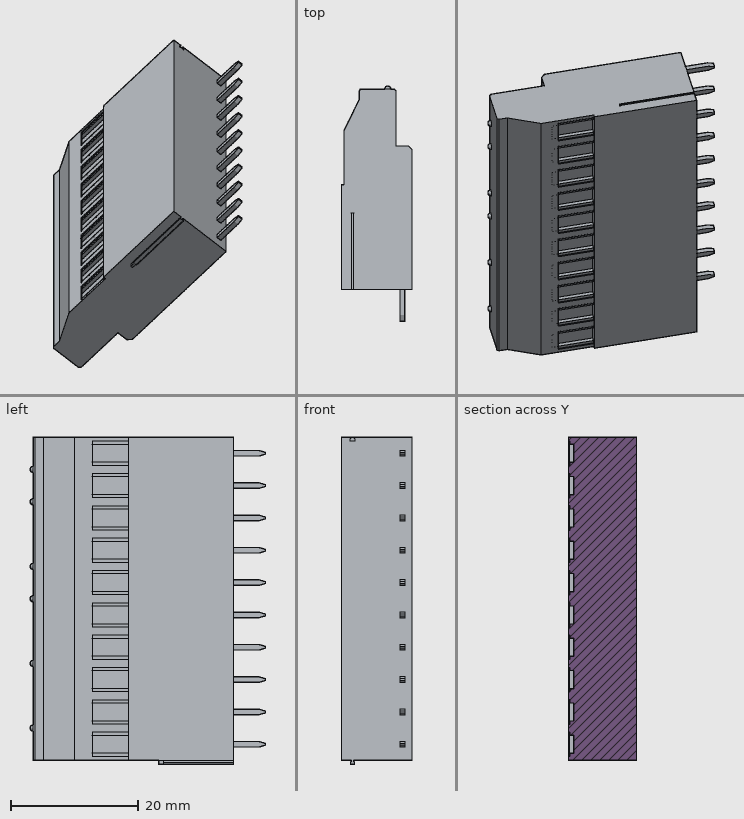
import cadquery as cq

pitch = 5.08
pin_count = 10
pin_width = 0.8
pin_height = 0.9
pin_length = 5.0
pin_taper_length = 1.0
pin_tip_height = 0.3
pin_center_x = 9.57

body_width = 11.1
body_depth = 31.5
body_height = pin_count * pitch
face_step = 0.4
face_step_y = 16.5
slope_start_y = 25.0
slope_end_x = 2.8
slope_end_y = 29.9
crown_right_x = 8.6
shoulder_y = 22.6
shoulder_chamfer = 0.6
crown_chamfer = 0.3
crown_left_chamfer_width = 0.15

window_end_y = 22.2
window_height = 3.8
window_depth = 0.2
window_inner_height = 2.8
window_inner_depth = 0.8
window_undercut = 1.0

dovetail_center_x = 1.74
dovetail_neck_width = 0.35
dovetail_flare_height = 0.35
dovetail_height = 0.6
groove_root_width = 0.85
groove_length = 12.0
tongue_root_width = 0.7
tongue_length = 11.8
tongue_lead_in = 0.8

stud_center_x = 7.28
stud_radius = 0.5
stud_poles = (1, 3, 5, 6, 8, 9)


def make_housing():
    outline = (
        cq.Workplane("XY")
        .polyline([
            (0, 0),
            (body_width, 0),
            (body_width, shoulder_y - shoulder_chamfer),
            (body_width - shoulder_chamfer, shoulder_y),
            (crown_right_x, shoulder_y),
            (crown_right_x, body_depth - crown_chamfer),
            (crown_right_x - crown_chamfer, body_depth),
            (slope_end_x + crown_left_chamfer_width, body_depth),
            (slope_end_x, body_depth - crown_chamfer),
            (slope_end_x, slope_end_y),
            (face_step, slope_start_y),
            (face_step, face_step_y),
            (0, face_step_y),
        ])
        .close()
    )
    return outline.extrude(body_height)


def make_window(center_z):
    """Shallow recess with a deeper, lower-height recess that runs on under its +Y end."""
    length = window_end_y - face_step_y
    inner_depth = window_inner_depth - window_depth
    window = cq.Workplane("XY").box(
        window_depth, length, window_height, centered=(False, False, True)
    )
    inner = (
        cq.Workplane("XY")
        .box(inner_depth, length + window_undercut, window_inner_height, centered=(False, False, True))
        .translate((window_depth, 0, 0))
    )
    return window.union(inner).translate((face_step, face_step_y, center_z))


def make_pin(center_z):
    """Pin pointing to -Y, tapered above and below at its tip."""
    half = pin_height / 2
    half_tip = pin_tip_height / 2
    taper_y = pin_taper_length - pin_length
    pin = (
        cq.Workplane("YZ")
        .polyline([
            (0, -half),
            (0, half),
            (taper_y, half),
            (-pin_length, half_tip),
            (-pin_length, -half_tip),
            (taper_y, -half),
        ])
        .close()
        .extrude(pin_width / 2, both=True)
    )
    return pin.translate((pin_center_x, 0, center_z))


def make_dovetail(mouth_z, root_width, flared_length):
    """Dovetail bar hanging below mouth_z, starting at the -Y face."""
    neck = dovetail_neck_width / 2
    root = root_width / 2
    bar = (
        cq.Workplane("XZ")
        .polyline([
            (-neck, 0),
            (neck, 0),
            (root, -dovetail_flare_height),
            (root, -dovetail_height),
            (-root, -dovetail_height),
            (-root, -dovetail_flare_height),
        ])
        .close()
        .extrude(-flared_length)
    )
    return bar.translate((dovetail_center_x, 0, mouth_z))


def make_tongue():
    lead_in = (
        cq.Workplane("XY")
        .box(dovetail_neck_width, tongue_length, dovetail_height, centered=(True, False, False))
        .translate((dovetail_center_x, 0, -dovetail_height))
    )
    flared = make_dovetail(0, tongue_root_width, tongue_length - tongue_lead_in)
    return flared.union(lead_in)


def make_stud(center_z):
    center = (stud_center_x, body_depth, center_z)
    plane = cq.Plane(origin=center, xDir=(-1, 0, 0), normal=(0, 1, 0))
    return cq.Workplane(plane).sphere(stud_radius)


result = make_housing()
for pole in range(pin_count):
    pole_z = (pole + 0.5) * pitch
    result = result.cut(make_window(pole_z)).union(make_pin(pole_z))
result = result.cut(make_dovetail(body_height, groove_root_width, groove_length)).union(make_tongue())
for pole in stud_poles:
    result = result.union(make_stud(pole * pitch))